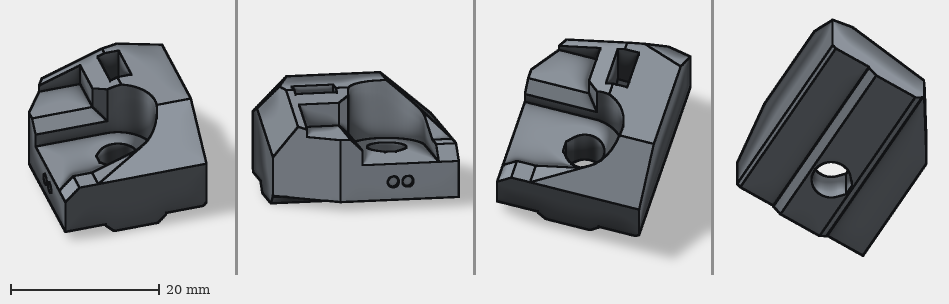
import cadquery as cq
import math


left_x = -16.5
right_x = 8.0
half_depth = 10.0
top_z = 13.0
rear_bottom_chamfer = 0.5
front_corner_run_x = 8.25
front_corner_run_y = 5.5

rib_height = 1.4
rib_top_half_width = 4.25
rib_bottom_half_width = 3.1
rib_straight_height = rib_height - (rib_top_half_width - rib_bottom_half_width)

roof_slope = math.tan(math.radians(20))
roof_break_y = 2.0
left_bevel_slope = math.tan(math.radians(60))
left_bevel_top_x = -13.44
rear_bevel_slope = math.tan(math.radians(45))
rear_bevel_corner_z = 8.33
right_bevel_top_x = 1.0
shoulder_z = 7.0
right_bevel_slope = (top_z - shoulder_z) / (right_x - right_bevel_top_x)

shoulder_start_x = 5.0
shoulder_rear_y = -5.35
shoulder_front_y = -8.0

bore_radius = 5.25
bore_floor_z = 5.0
hole_radius = 2.65
hole_flat_y = -2.85
hole_flank_angle = math.radians(41)

pocket_left_x = -12.33
pocket_flare_x = -6.85
pocket_rear_y = -1.45
pocket_floor_z = 8.6
flare_length = 2.8

nut_width = 5.7
nut_thickness = 3.0
nut_left_x = pocket_left_x
nut_rear_y = 4.0
nut_axis_z = top_z / 2

pin_diameter = 1.5
pin_spacing = 2.0
pin_z = 2.5
pin_depth = 0.5

overshoot = 5.0
cutter_size = 100.0


def above_plane(point, slope_x, slope_y):
    """Solid filling everything above the plane through point with the given rises in Z."""
    plane = cq.Plane(origin=point, xDir=(1, 0, slope_x), normal=(-slope_x, -slope_y, 1))
    return cq.Workplane(plane).rect(cutter_size, cutter_size).extrude(cutter_size)


def prism_along_x(points, start_x, end_x):
    """Extrude a closed (y, z) outline from start_x to end_x."""
    return cq.Workplane("YZ", origin=(start_x, 0, 0)).polyline(points).close().extrude(end_x - start_x)


def make_body():
    side_profile = [
        (-half_depth, 0),
        (-rib_top_half_width, 0),
        (-rib_top_half_width, -rib_straight_height),
        (-rib_bottom_half_width, -rib_height),
        (rib_bottom_half_width, -rib_height),
        (rib_top_half_width, -rib_straight_height),
        (rib_top_half_width, 0),
        (half_depth - rear_bottom_chamfer, 0),
        (half_depth, rear_bottom_chamfer),
        (half_depth, top_z),
        (roof_break_y, top_z),
        (-half_depth, top_z - roof_slope * (roof_break_y + half_depth)),
    ]
    body = prism_along_x(side_profile, left_x, right_x)
    front_corner = (
        cq.Workplane("XY", origin=(0, 0, -rib_height))
        .polyline([
            (left_x, -half_depth),
            (left_x + front_corner_run_x, -half_depth),
            (left_x, -half_depth + front_corner_run_y),
        ])
        .close()
        .extrude(rib_height + top_z)
    )
    return body.cut(front_corner)


def cut_bevels(body):
    left = above_plane((left_bevel_top_x, roof_break_y, top_z), left_bevel_slope, roof_slope)
    rear_left = above_plane((left_x, half_depth, rear_bevel_corner_z), rear_bevel_slope, -roof_slope)
    right = above_plane((right_bevel_top_x, 0, top_z), -right_bevel_slope, 0)
    return body.cut(left).cut(rear_left).cut(right)


def make_shoulder_cut():
    front_edge_z = shoulder_z - (shoulder_front_y + half_depth)
    rear_z = shoulder_z + roof_slope * (half_depth - shoulder_rear_y)
    outline = [
        (-half_depth, front_edge_z),
        (shoulder_front_y, shoulder_z),
        (shoulder_rear_y, shoulder_z),
        (half_depth, rear_z),
        (half_depth, top_z + overshoot),
        (-half_depth, top_z + overshoot),
    ]
    return prism_along_x(outline, shoulder_start_x, right_x)


def make_bore():
    return (
        cq.Workplane("XY", origin=(0, 0, bore_floor_z))
        .moveTo(-bore_radius, -half_depth)
        .lineTo(-bore_radius, 0)
        .threePointArc((0, bore_radius), (bore_radius, 0))
        .lineTo(bore_radius, -half_depth)
        .close()
        .extrude(top_z)
    )


def make_teardrop_hole():
    """Round hole with tangent flanks running down to a short flat on the -Y side."""
    tangent_x = hole_radius * math.sin(hole_flank_angle)
    tangent_y = -hole_radius * math.cos(hole_flank_angle)
    flat_half_width = tangent_x - (tangent_y - hole_flat_y) / math.tan(hole_flank_angle)
    return (
        cq.Workplane("XY", origin=(0, 0, -rib_height))
        .moveTo(-flat_half_width, hole_flat_y)
        .lineTo(-tangent_x, tangent_y)
        .threePointArc((0, hole_radius), (tangent_x, tangent_y))
        .lineTo(flat_half_width, hole_flat_y)
        .close()
        .extrude(rib_height + top_z)
    )


def make_pocket():
    """Front pocket: its plan outline limited from below by the flared floor."""
    flare_end_x = pocket_flare_x + flare_length
    plan = (
        cq.Workplane("XY")
        .polyline([
            (pocket_left_x, -half_depth),
            (pocket_left_x, pocket_rear_y),
            (pocket_flare_x, pocket_rear_y),
            (flare_end_x, pocket_rear_y + flare_length),
            (flare_end_x, -half_depth),
        ])
        .close()
        .extrude(top_z)
    )
    floor = (
        cq.Workplane("XZ", origin=(0, half_depth, 0))
        .polyline([
            (pocket_left_x, top_z),
            (pocket_left_x, pocket_floor_z),
            (pocket_flare_x, pocket_floor_z),
            (flare_end_x, pocket_floor_z - flare_length),
            (flare_end_x, top_z),
        ])
        .close()
        .extrude(2 * half_depth)
    )
    return plan.intersect(floor)


def make_nut_slot():
    side_corner_drop = nut_width / 2 * math.tan(math.radians(30))
    point_drop = 2 * side_corner_drop
    nut_right_x = nut_left_x + nut_width
    return (
        cq.Workplane("XZ", origin=(0, nut_rear_y, 0))
        .polyline([
            (nut_left_x, top_z),
            (nut_left_x, nut_axis_z - side_corner_drop),
            (nut_left_x + nut_width / 2, nut_axis_z - point_drop),
            (nut_right_x, nut_axis_z - side_corner_drop),
            (nut_right_x, top_z),
        ])
        .close()
        .extrude(nut_thickness)
    )


def make_pin_holes():
    return (
        cq.Workplane("XZ", origin=(0, -half_depth, pin_z))
        .pushPoints([(-pin_spacing / 2, 0), (pin_spacing / 2, 0)])
        .circle(pin_diameter / 2)
        .extrude(-pin_depth)
    )


result = cut_bevels(make_body())
result = result.cut(make_shoulder_cut())
result = result.cut(make_bore())
result = result.cut(make_teardrop_hole())
result = result.cut(make_pocket())
result = result.cut(make_nut_slot())
result = result.cut(make_pin_holes())